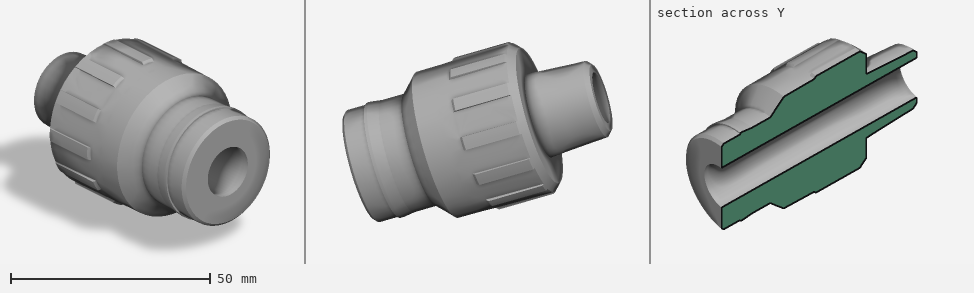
import cadquery as cq

length = 64.0
bore_diameter = 13.3

spigot_tip_radius = 8.7
spigot_start_diameter = 20.0
spigot_root_radius = 10.95
spigot_chamfer_length = 1.2

nut_start = 16.45
nut_face_radius = 17.65
nut_chamfer = 1.8
nut_rear_radius = 19.1
nut_shoulder = 43.6

sleeve_diameter = 29.3
sleeve_end_chamfer = 0.8
ring_diameter = 30.15
ring_start = 54.0
ring_crest_start = 57.0
ring_end = 57.85

rib_count = 12
rib_width = 3.4
rib_diameter = 39.75
rib_crest_end = 33.0

spigot_start_radius = spigot_start_diameter / 2
nut_front_radius = nut_face_radius + nut_chamfer
sleeve_radius = sleeve_diameter / 2
ring_radius = ring_diameter / 2
rib_radius = rib_diameter / 2
sleeve_start = nut_shoulder + nut_rear_radius - sleeve_radius


def revolve_profile(points):
    """Revolve a closed (x, radius) outline around the X axis."""
    return cq.Workplane("XY").polyline(points).close().revolve(360, (0, 0, 0), (1, 0, 0))


def make_body():
    return revolve_profile([
        (0, 0),
        (0, spigot_tip_radius),
        (spigot_chamfer_length, spigot_start_radius),
        (nut_start, spigot_root_radius),
        (nut_start, nut_face_radius),
        (nut_start + nut_chamfer, nut_front_radius),
        (nut_shoulder, nut_rear_radius),
        (sleeve_start, sleeve_radius),
        (ring_start, sleeve_radius),
        (ring_crest_start, ring_radius),
        (ring_end, ring_radius),
        (ring_end, sleeve_radius),
        (length - sleeve_end_chamfer, sleeve_radius),
        (length, sleeve_radius - sleeve_end_chamfer),
        (length, 0),
    ])


def make_ribs():
    """Cut parallel-sided ribs out of a ring whose ends slope at 45 degrees."""
    inner_radius = nut_face_radius
    crest_start = nut_start + rib_radius - nut_face_radius
    rib_foot_end = rib_crest_end + rib_radius - inner_radius
    envelope = revolve_profile([
        (nut_start, inner_radius),
        (crest_start, rib_radius),
        (rib_crest_end, rib_radius),
        (rib_foot_end, inner_radius),
    ])
    bar_height = 3 * rib_radius
    bar = cq.Workplane("XY").box(length, rib_width, bar_height).translate((length / 2, 0, 0))
    bars = bar
    for index in range(1, rib_count // 2):
        bars = bars.union(bar.rotate((0, 0, 0), (1, 0, 0), index * 360 / rib_count))
    return envelope.intersect(bars)


bore = cq.Workplane("YZ").circle(bore_diameter / 2).extrude(length)
result = make_body().union(make_ribs()).cut(bore)